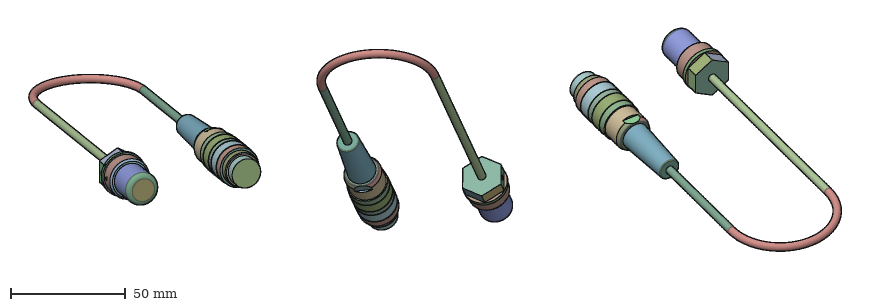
import cadquery as cq

overall_length = 150.8
cable_diameter = 3.8
axis_spacing = 49.9
bend_radius = axis_spacing / 2
bend_reach = bend_radius + cable_diameter / 2

receptacle_length = 30.3
receptacle_end = overall_length - bend_reach
hex_start = receptacle_end - receptacle_length
hex_flats = 17.0
hex_length = 6.0
flange_diameter = 20.0
flange_length = 1.8
collar_diameter = 18.5
collar_length = 7.2
collar_chamfer = 0.9
barrel_diameter = 15.0
barrel_round = 2.3
hex_dimple_diameter = 2.3
hex_dimple_tip_diameter = 0.2
hex_dimple_depth = 0.9
collar_hole_diameter = 1.5
collar_hole_depth = 0.8
collar_hole_offset = 2.3

plug_length = 69.8
plug_end_setback = 4.0
boot_length = 27.5
boot_start_diameter = 10.0
boot_end_diameter = 12.8
boot_round = 0.5
body_diameter = 16.9
body_start_diameter = 15.1
body_length = 11.2
body_chamfer_length = 2.3
body_edge_round = 0.5
body_flats = 15.0
flat_length = 4.0
sleeve_diameter = 18.1
sleeve_length = 22.9
band_diameter = 18.5
band_length = 6.0
band_setbacks = (3.6, 12.8)
collet_diameter = 16.0
collet_length = 3.8
collet_chamfer = 0.5
nose_diameter = 13.4

boot_start = receptacle_end - plug_end_setback - plug_length
body_start = boot_start + boot_length
sleeve_start = body_start + body_length
insert_start = sleeve_start + sleeve_length
nose_start = insert_start + collet_length
plug_end = boot_start + plug_length


def cylinder(start, length, diameter, axis_y):
    """Cylinder along +X from the plane X = start."""
    return cq.Workplane("YZ", origin=(start, axis_y, 0)).circle(diameter / 2).extrude(length)


def make_cable():
    """Two straight runs joined by a half-circle bend."""
    path = (
        cq.Workplane("XY")
        .moveTo(hex_start, 0)
        .lineTo(0, 0)
        .threePointArc((-bend_radius, bend_radius), (0, axis_spacing))
        .lineTo(boot_start, axis_spacing)
    )
    return cq.Workplane("YZ", origin=(hex_start, 0, 0)).circle(cable_diameter / 2).sweep(path)


def make_receptacle():
    """Hexagonal rear, flange, collar and barrel in one piece, with two marks on the -Y side."""
    flange_start = hex_start + hex_length
    collar_start = flange_start + flange_length
    barrel_start = collar_start + collar_length

    hexagon = (
        cq.Workplane("YZ", origin=(hex_start, 0, 0))
        .polygon(6, hex_flats, circumscribed=True)
        .extrude(hex_length)
    )
    flange = cylinder(flange_start, flange_length, flange_diameter, 0)
    collar = cylinder(collar_start, collar_length, collar_diameter, 0).faces(">X").chamfer(collar_chamfer)
    barrel = cylinder(barrel_start, receptacle_end - barrel_start, barrel_diameter, 0)
    barrel = barrel.faces(">X").edges().fillet(barrel_round)

    hex_dimple = cq.Solid.makeCone(
        hex_dimple_diameter / 2,
        hex_dimple_tip_diameter / 2,
        hex_dimple_depth,
        pnt=cq.Vector(hex_start + hex_length / 2, -hex_flats / 2, 0),
        dir=cq.Vector(0, 1, 0),
    )
    collar_hole = cq.Solid.makeCylinder(
        collar_hole_diameter / 2,
        collar_hole_depth,
        pnt=cq.Vector(collar_start + collar_hole_offset, -collar_diameter / 2, 0),
        dir=cq.Vector(0, 1, 0),
    )
    return hexagon.union(flange).union(collar).union(barrel).cut(hex_dimple).cut(collar_hole)


def make_boot():
    """Tapered strain relief that widens away from the cable."""
    boot = (
        cq.Workplane("YZ", origin=(boot_start, axis_spacing, 0))
        .circle(boot_start_diameter / 2)
        .workplane(offset=boot_length)
        .circle(boot_end_diameter / 2)
        .loft()
    )
    return boot.faces("<X").edges().fillet(boot_round)


def make_plug_body():
    """Round body with a conical rear edge, a rounded rim and two spanner flats facing +Z and -Z."""
    body = cylinder(body_start, body_length, body_diameter, axis_spacing)
    chamfer_depth = (body_diameter - body_start_diameter) / 2
    body = body.faces("<X").chamfer(body_chamfer_length, chamfer_depth)
    body = body.faces("<X").edges().fillet(body_edge_round)
    for side in (1, -1):
        flat_cut = cq.Workplane("XY").box(
            flat_length, body_diameter, body_diameter, centered=(False, True, True)
        )
        cut_height = side * (body_flats + body_diameter) / 2
        body = body.cut(flat_cut.translate((body_start, axis_spacing, cut_height)))
    return body


def make_grip_sleeve():
    """Grip sleeve with raised bands."""
    sleeve = cylinder(sleeve_start, sleeve_length, sleeve_diameter, axis_spacing)
    for setback in band_setbacks:
        sleeve = sleeve.union(cylinder(sleeve_start + setback, band_length, band_diameter, axis_spacing))
    return sleeve


def make_plug_insert():
    """Front of the plug: chamfered collet and a narrower nose."""
    collet = cylinder(insert_start, collet_length, collet_diameter, axis_spacing)
    collet = collet.faces(">X").chamfer(collet_chamfer)
    return collet.union(cylinder(nose_start, plug_end - nose_start, nose_diameter, axis_spacing))


cable = make_cable()
receptacle = make_receptacle()
boot = make_boot()
plug_body = make_plug_body()
grip_sleeve = make_grip_sleeve()
plug_insert = make_plug_insert()

result = cq.Compound.makeCompound([
    cable.val(),
    receptacle.val(),
    boot.val(),
    plug_body.val(),
    grip_sleeve.val(),
    plug_insert.val(),
])